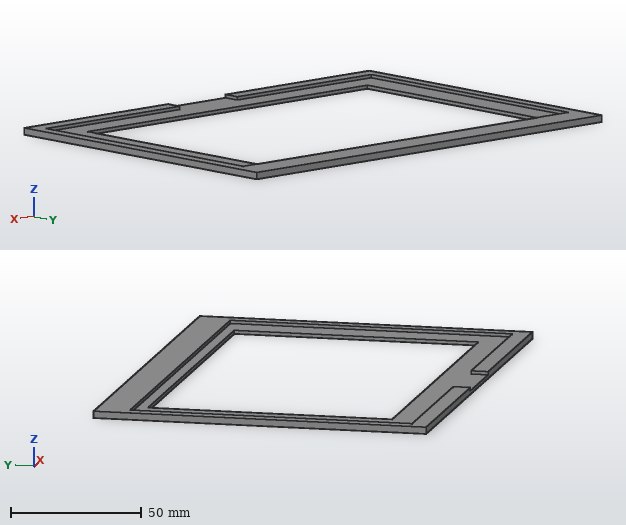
import cadquery as cq

plate_width = 181.0
plate_depth = 131.0
plate_thickness = 2.7

recess_depth = 1.3
recess_side_margin = 5.2
recess_front_margin = 6.7
recess_back_margin = 13.2

window_width = 146.6
window_depth = 96.1
window_front_margin = 17.4

notch_width = 30.0

recess_floor_z = plate_thickness - recess_depth
front_y = -plate_depth / 2


def block(width, depth, height, center_x, start_y, start_z):
    """Box centred on center_x, growing toward +Y and +Z from its start."""
    return (
        cq.Workplane("XY")
        .box(width, depth, height, centered=(True, False, False))
        .translate((center_x, start_y, start_z))
    )


plate = block(plate_width, plate_depth, plate_thickness, 0, front_y, 0)

recess = block(
    plate_width - 2 * recess_side_margin,
    plate_depth - recess_front_margin - recess_back_margin,
    recess_depth,
    0,
    front_y + recess_front_margin,
    recess_floor_z,
)

window = block(window_width, window_depth, plate_thickness, 0, front_y + window_front_margin, 0)

notch = block(
    notch_width, window_front_margin, recess_depth, 0, front_y, recess_floor_z
)

result = plate.cut(recess).cut(window).cut(notch)